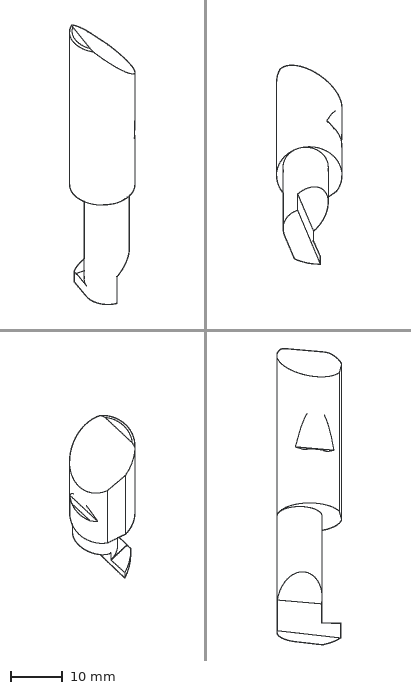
import cadquery as cq
import math

length = 63.5
shank_radius = 6.35
shank_bottom = 25.4
neck_radius = 4.4
neck_center_x = shank_radius - neck_radius
cut_margin = 12.7

bevel_start_y = -4.5
flat_end_y = 3.75
flat_end_x = -math.sqrt(shank_radius**2 - flat_end_y**2)
notch_bottom = 37.0
notch_top = 46.2
notch_depth = 1.3
notch_corner = 0.75
top_chamfer_width = 0.5
top_chamfer_height = 0.25

rake_relief_bottom = 7.0
blade_top = 3.2
blade_top_drop = 0.25
blade_tip_x = -6.15
blade_corner_x = -3.4
blade_arc_middle = (-5.1, -2.35)
bottom_rise_x = 0.4
bottom_rise_y = 0.25


def extrude_across_x(points):
    """Extrude a (Y, Z) outline through the whole width of the part."""
    outline = cq.Workplane("YZ").polyline(points).close()
    return outline.extrude(cut_margin, both=True)


def make_shank():
    shank = cq.Workplane("XY").workplane(offset=shank_bottom).circle(shank_radius)
    shank = shank.extrude(length - shank_bottom)
    shank = shank.faces(">Z").chamfer(top_chamfer_height, top_chamfer_width)

    side_flat = (
        cq.Workplane("XY")
        .moveTo(-shank_radius, 0)
        .lineTo(flat_end_x, flat_end_y)
        .lineTo(-cut_margin, flat_end_y)
        .lineTo(-cut_margin, 0)
        .close()
        .extrude(length)
    )

    bevel_end_y = bevel_start_y + cut_margin
    bevel = extrude_across_x(
        [(bevel_start_y, length), (bevel_end_y, length - cut_margin), (bevel_end_y, length)]
    )

    notch_floor_y = shank_radius - notch_depth
    notch = extrude_across_x(
        [
            (shank_radius, notch_bottom),
            (notch_floor_y + notch_corner, notch_bottom),
            (notch_floor_y, notch_bottom + notch_corner),
            (shank_radius, notch_top),
        ]
    )
    return shank.cut(side_flat).cut(bevel).cut(notch)


def make_neck():
    neck = cq.Workplane("XY").center(neck_center_x, 0).circle(neck_radius).extrude(shank_bottom)
    relief = extrude_across_x(
        [
            (0, 0),
            (0, rake_relief_bottom),
            (cut_margin, rake_relief_bottom + cut_margin),
            (cut_margin, 0),
        ]
    )
    return neck.cut(relief)


def make_blade():
    blade = (
        cq.Workplane("XY")
        .moveTo(neck_center_x, 0)
        .lineTo(blade_tip_x, 0)
        .threePointArc(blade_arc_middle, (blade_corner_x, -neck_radius))
        .lineTo(neck_center_x, -neck_radius)
        .close()
        .extrude(blade_top)
    )
    step_x = neck_center_x - neck_radius
    top_relief = (
        cq.Workplane("XZ")
        .polyline([(blade_tip_x, blade_top), (step_x, blade_top - blade_top_drop), (step_x, blade_top)])
        .close()
        .extrude(cut_margin)
    )
    return blade.cut(top_relief)


def make_bottom_clearance():
    """Wedge under the tip that leaves the blade point lowest."""
    slope_x = bottom_rise_x / (shank_radius - blade_tip_x)
    slope_y = bottom_rise_y / neck_radius
    plane = cq.Plane(
        origin=(blade_tip_x, 0, 0),
        xDir=(1, 0, slope_x),
        normal=(-slope_x, slope_y, 1),
    )
    side = 4 * cut_margin
    return cq.Workplane(plane).rect(side, side).extrude(-cut_margin)


result = make_shank().union(make_neck()).union(make_blade()).cut(make_bottom_clearance())